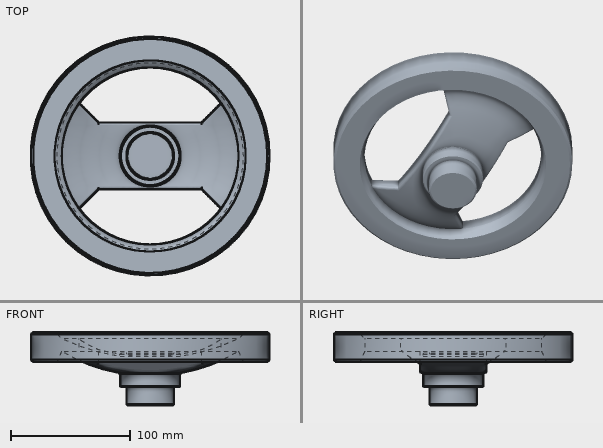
import cadquery as cq
import math

rim_radius = 100.0
rim_height = 25.0
rim_chamfer = 2.0
bore_radius = 74.0
top_flare_radius = 80.0
top_flare_height = 5.5
bottom_flare_radius = 78.0
bottom_flare_height = 9.0

dish_top_curvature = 172.0
dish_bottom_curvature = 144.0
spoke_embed = 2.0
spoke_width = 56.0
spoke_parallel_length = 86.5
spoke_edge_fillet = 2.0

collar_top_radius = 25.5
collar_bottom_radius = 25.2
collar_top = 7.5
collar_step = -10.0
collar_bottom = -21.0
collar_chamfer = 1.0
collar_recess_depth = 0.8

shaft_radius = 20.0
overall_height = 61.5
shaft_bottom = rim_height - overall_height
shaft_chamfer = 1.5


def make_rim():
    """Chamfered ring with a bore that flares towards both faces."""
    shoulder_radius = rim_radius - rim_chamfer
    outline = [
        (bottom_flare_radius, 0),
        (shoulder_radius, 0),
        (rim_radius, rim_chamfer),
        (rim_radius, rim_height - rim_chamfer),
        (shoulder_radius, rim_height),
        (top_flare_radius, rim_height),
        (bore_radius, rim_height - top_flare_height),
        (bore_radius, bottom_flare_height),
    ]
    return cq.Workplane("XZ").polyline(outline).close().revolve(360, (0, 0, 0), (0, 1, 0))


def sphere_rise(curvature, radius):
    """Height of a spherical dish above its lowest point at a distance from the axis."""
    return curvature - math.sqrt(curvature**2 - radius**2)


def make_dish():
    """Full round dish, before the openings between the spokes are removed."""
    outer = bore_radius + spoke_embed
    bottom_low_point = bottom_flare_height - sphere_rise(dish_bottom_curvature, bore_radius)
    top_low_point = rim_height - top_flare_height - sphere_rise(dish_top_curvature, bore_radius)

    def bottom_point(radius):
        return radius, bottom_low_point + sphere_rise(dish_bottom_curvature, radius)

    def top_point(radius):
        return radius, top_low_point + sphere_rise(dish_top_curvature, radius)

    return (
        cq.Workplane("XZ")
        .moveTo(*bottom_point(0))
        .threePointArc(bottom_point(outer / 2), bottom_point(outer))
        .lineTo(*top_point(outer))
        .threePointArc(top_point(outer / 2), top_point(0))
        .close()
        .revolve(360, (0, 0, 0), (0, 1, 0))
    )


def make_spokes():
    """Two opposite spokes that widen at 45 degrees, with rounded side edges."""
    half_width = spoke_width / 2
    half_parallel = spoke_parallel_length / 2
    widening = rim_radius - half_parallel
    right_end = [
        (half_parallel, -half_width),
        (half_parallel + widening, -half_width - widening),
        (half_parallel + widening, half_width + widening),
        (half_parallel, half_width),
    ]
    left_end = [(-x, -y) for x, y in right_end]
    bow_tie = (
        cq.Workplane("XY", origin=(0, 0, -rim_height))
        .polyline(right_end + left_end).close()
        .extrude(3 * rim_height)
    )
    spokes = make_dish().intersect(bow_tie)
    return spokes.faces("%PLANE").edges("%CIRCLE").fillet(spoke_edge_fillet)


def make_collar():
    """Collar with chamfered ends, a slight step below the dish and a shallow top recess."""
    lower = (
        cq.Workplane("XY", origin=(0, 0, collar_bottom))
        .circle(collar_bottom_radius).extrude(collar_step - collar_bottom)
        .faces("<Z").chamfer(collar_chamfer)
    )
    upper = (
        cq.Workplane("XY", origin=(0, 0, collar_step))
        .circle(collar_top_radius).extrude(collar_top - collar_step)
        .faces(">Z").chamfer(collar_chamfer)
    )
    recess = (
        cq.Workplane("XY", origin=(0, 0, collar_top))
        .circle(shaft_radius).extrude(-collar_recess_depth, taper=45)
    )
    return lower.union(upper).cut(recess)


def make_shaft():
    return (
        cq.Workplane("XY", origin=(0, 0, shaft_bottom))
        .circle(shaft_radius).extrude(collar_bottom - shaft_bottom)
        .faces("<Z").chamfer(shaft_chamfer)
    )


result = make_rim().union(make_spokes()).union(make_collar()).union(make_shaft())